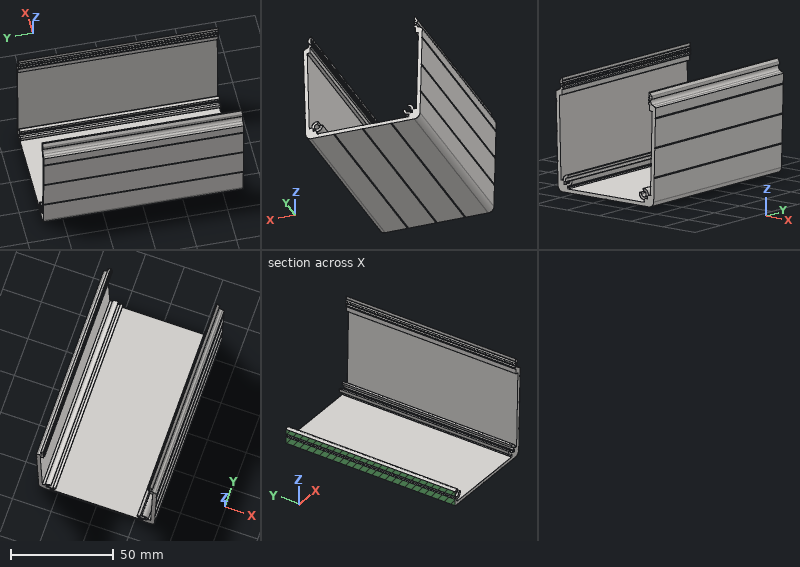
import cadquery as cq
import math

length = 100.0
top_width = 62.5
height = 57.5
floor_thickness = 2.0
wall_thickness = 2.1
wall_top = 50.2
base_width = 59.9
corner_radius = 3.0

shelf_bottom = 48.1
shelf_face = 27.5
shelf_rise = 0.4
shoulder_bend = (30.4, 50.8)
lip_root = (29.2, 51.4)
neck_middle = (28.2, 52.7)
neck_top = (28.3, 54.0)
bulge_middle = (28.9, 54.8)
bulge_top = (28.7, 55.8)
tip_bend = (27.6, 57.3)
lip_tooth = 26.8
lip_notch = 27.4
lip_tip = 27.1

groove_pitch = 15.0
groove_width = 0.6
groove_depth = 0.2

screw_out = 23.9
screw_z = 6.1
screw_bore = 1.4
screw_outer = 2.8
mouth_half_angle = 35.0
mouth_direction = 135.0
gusset_inner = 24.1
gusset_top = 5.9
gusset_bevel = 0.5
relief_reach = 2.1
relief_size = 1.3

top_out = top_width / 2
base_out = base_width / 2
wall_lean = (top_out - base_out) / wall_top


def wall_outer(z):
    """Outward distance of the leaning outer wall face at height z."""
    return base_out + wall_lean * z


def extrude(sketch):
    """Extrude an XZ outline over the full length, centred on Y."""
    return sketch.extrude(length / 2, both=True)


def polar(radius, angle):
    """Point around the screw channel axis."""
    a = math.radians(angle)
    return (screw_out + radius * math.cos(a), screw_z + radius * math.sin(a))


def make_wall():
    """Leaning side wall carrying the inner shelf."""
    outline = [
        (base_out, 0),
        (top_out, wall_top),
        shoulder_bend,
        lip_root,
        (shelf_face, lip_root[1]),
        (shelf_face, shelf_bottom + shelf_rise),
        (wall_outer(shelf_bottom) - wall_thickness, shelf_bottom),
        (base_out - wall_thickness, 0),
    ]
    return extrude(cq.Workplane("XZ").polyline(outline).close())


def make_lip():
    """Snap lip: bulged outer face with a concave neck, toothed inner face."""
    inner_teeth = [
        (lip_tip, 55.9),
        (lip_notch, 55.4),
        (lip_tooth, 54.8),
        (lip_notch, 54.3),
        (lip_tooth, 53.9),
        (lip_tooth, 53.3),
        (lip_notch, 53.1),
        (lip_notch, 52.8),
        (lip_tooth, 52.3),
        (lip_tooth, 51.6),
        (shelf_face, 51.1),
    ]
    sketch = (
        cq.Workplane("XZ")
        .moveTo(*lip_root)
        .threePointArc(neck_middle, neck_top)
        .threePointArc(bulge_middle, bulge_top)
        .lineTo(*tip_bend)
        .lineTo(lip_tip, height)
    )
    for point in inner_teeth:
        sketch = sketch.lineTo(*point)
    return extrude(sketch.close())


def make_screw_channel():
    """Open ring on a gusset that fills the lower corner."""
    start = mouth_direction + mouth_half_angle
    end = mouth_direction - mouth_half_angle + 360
    middle = (start + end) / 2
    ring = extrude(
        cq.Workplane("XZ")
        .moveTo(*polar(screw_outer, start))
        .threePointArc(polar(screw_outer, middle), polar(screw_outer, end))
        .lineTo(*polar(screw_bore, end))
        .threePointArc(polar(screw_bore, middle), polar(screw_bore, start))
        .close()
    )
    gusset_outline = [
        (gusset_inner - gusset_bevel, 0),
        (base_out, 0),
        (wall_outer(gusset_top), gusset_top),
        (screw_out + screw_bore, gusset_top),
        (gusset_inner, screw_z - screw_bore),
        (gusset_inner, floor_thickness + gusset_bevel),
        (gusset_inner - gusset_bevel, floor_thickness),
    ]
    gusset = extrude(cq.Workplane("XZ").polyline(gusset_outline).close())
    bore = extrude(cq.Workplane("XZ").center(screw_out, screw_z).circle(screw_bore))
    relief = extrude(
        cq.Workplane("XZ")
        .center(screw_out + relief_reach, screw_z - relief_reach)
        .rect(-relief_size, relief_size, centered=False)
    )
    return gusset.cut(bore).union(ring).cut(relief)


def make_groove():
    """V-groove cutter on the underside at X = 0."""
    outline = [(-groove_width / 2, 0), (0, groove_depth), (groove_width / 2, 0)]
    return extrude(cq.Workplane("XZ").polyline(outline).close())


floor = cq.Workplane("XY").box(2 * base_out, length, floor_thickness, centered=(True, True, False))
side = make_wall().union(make_lip()).union(make_screw_channel())
body = floor.union(side).union(side.mirror("YZ"))
body = body.faces("<Z").edges("|Y and (<X or >X)").fillet(corner_radius)

groove = make_groove()
for step in (-1, 0, 1):
    body = body.cut(groove.translate((step * groove_pitch, 0, 0)))

lean_angle = math.degrees(math.atan(wall_lean))
side_groove = groove.rotate((0, 0, 0), (0, 1, 0), -90 + lean_angle)
for step in (1, 2, 3):
    z = step * groove_pitch
    cutter = side_groove.translate((wall_outer(z), 0, z))
    body = body.cut(cutter).cut(cutter.mirror("YZ"))

result = body